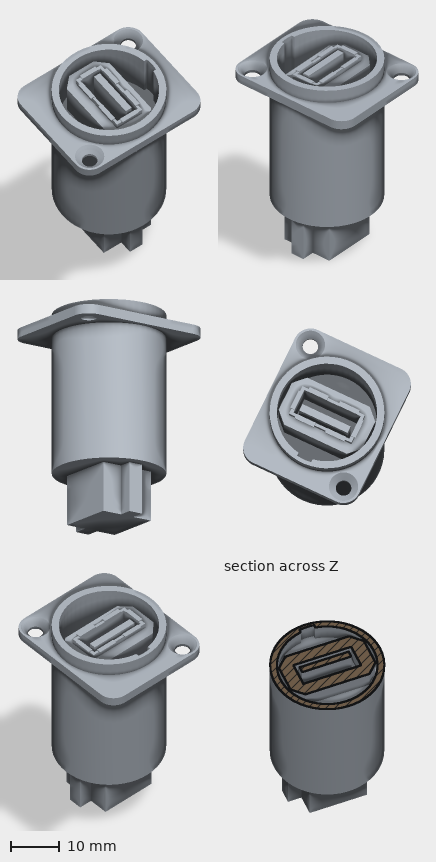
import cadquery as cq

total_height = 44.5
rim_height = 3.0
plate_thickness = 2.0
body_bottom = -34.0
plate_bottom = -rim_height - plate_thickness

plate_width = 26.0
plate_length = 31.0
plate_corner_radius = 3.5
screw_x = 9.52
screw_y = 12.0
screw_hole_diameter = 3.2
countersink_diameter = 6.0
countersink_angle = 90.0

body_diameter = 23.6
bore_diameter = 20.6
key_width = 3.15
key_diameter = 22.0
bore_floor = -10.0

insert_width = 19.0
insert_length = 11.0
insert_chamfer = 2.35
insert_top = -rim_height

shell_width = 14.25
shell_length = 6.45
socket_width = 12.75
socket_length = 5.25
shell_top = -1.75
socket_floor = bore_floor
tongue_width = 11.0
tongue_thickness = 1.5
tongue_y = 1.0
tongue_top = -1.6

lip_depth = 1.02
lip_height = 0.22
lip_top = shell_top + lip_height
long_lip_width = 4.4
long_lip_x = 3.45
side_lip_width = 4.0

block_width = 12.73
block_length = 12.1
bar_width = 18.7
bar_thickness = 3.15


def box(width, length, bottom, top, x=0.0, y=0.0):
    """Upright box centred on (x, y) between two heights."""
    outline = cq.Workplane("XY", origin=(x, y, bottom)).rect(width, length)
    return outline.extrude(top - bottom)


def cylinder(diameter, bottom, top):
    """Upright cylinder on the main axis between two heights."""
    return cq.Workplane("XY", origin=(0, 0, bottom)).circle(diameter / 2).extrude(top - bottom)


def mounting_plate():
    plate = box(plate_width, plate_length, plate_bottom, -rim_height)
    plate = plate.edges("|Z").fillet(plate_corner_radius)
    return (
        plate.faces(">Z")
        .workplane(origin=(0, 0, 0))
        .pushPoints([(-screw_x, screw_y), (screw_x, -screw_y)])
        .cskHole(screw_hole_diameter, countersink_diameter, countersink_angle)
    )


def keyed_bore():
    key = box(key_width, key_diameter / 2, bore_floor, 0, y=key_diameter / 4)
    key = key.intersect(cylinder(key_diameter, bore_floor, 0))
    return cylinder(bore_diameter, bore_floor, 0).union(key)


def insert():
    block = box(insert_width, insert_length, bore_floor, insert_top)
    return block.edges("|Z").chamfer(insert_chamfer)


def shell_lips():
    spread_length = socket_length + 2 * lip_depth
    spread_width = socket_width + 2 * lip_depth
    lips = box(spread_width, side_lip_width, shell_top, lip_top)
    for x in (-long_lip_x, long_lip_x):
        lips = lips.union(box(long_lip_width, spread_length, shell_top, lip_top, x=x))
    return lips


def connector_block():
    block = box(block_width, block_length, -total_height, body_bottom)
    return block.union(box(bar_width, bar_thickness, -total_height, body_bottom))


shell = box(shell_width, shell_length, insert_top, shell_top).union(shell_lips())
socket = box(socket_width, socket_length, socket_floor, lip_top)
tongue = box(tongue_width, tongue_thickness, socket_floor, tongue_top, y=tongue_y)

result = (
    mounting_plate()
    .union(cylinder(body_diameter, body_bottom, 0))
    .cut(keyed_bore())
    .union(insert())
    .union(shell)
    .cut(socket)
    .union(tongue)
    .union(connector_block())
)